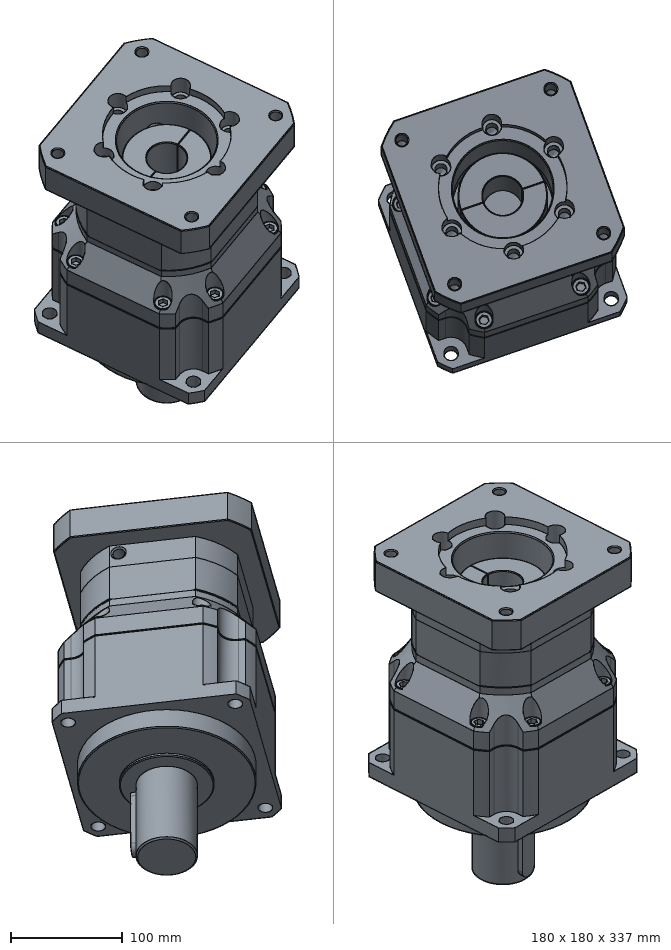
import cadquery as cq
import math

total_height = 337.0
shaft_length = 82.0
seal_height = 3.0
pilot_height = 20.0
base_thickness = 15.0
seal_bottom = shaft_length
pilot_bottom = seal_bottom + seal_height
base_bottom = pilot_bottom + pilot_height
base_top = base_bottom + base_thickness
seam_level = 189.3
shoulder_bottom = 209.5
shoulder_top = 236.5
stage_joint = 244.0
adapter_bottom = 281.0
plate_thickness = 32.0
plate_bottom = total_height - plate_thickness

square_half = 90.0
base_corner_radius = 120.0
body_corner_radius = 102.5
plate_corner_radius = 115.0
plate_edge_chamfer = 0.8
neck_half = 71.5
neck_corner_radius = 81.5
neck_turned_chamfer = 1.0
seam_width = 1.2
seam_depth = 0.3

shaft_radius = 27.5
shaft_chamfer = 1.5
seal_radius = 42.5
seal_chamfer = 1.0
pilot_radius = 80.0
pilot_chamfer = 1.0
key_width = 16.0
key_height = 10.0
key_length = 70.0
key_start = 6.0
key_top = 31.5

base_hole_offset = 76.0
base_hole_diameter = 13.0
scallop_radius = 15.0

screw_circle_radius = 92.0
screw_angle_from_axis = 30.0
screw_pocket_diameter = 16.5
screw_pocket_floor = 212.5
screw_head_diameter = 15.0
screw_head_height = 0.5
screw_head_chamfer = 0.4
screw_socket_flats = 8.0
screw_socket_depth = 5.0

hub_radius = 40.0
hub_top = plate_bottom
hub_chamfer = 0.8
hub_bore_radius = 18.0
hub_bore_chamfer = 0.8
hub_slit_width = 1.0
hub_bore_bottom = 255.0
cavity_radius = 45.0
cavity_chamfer = 1.0
cavity_floor = 265.0
clamp_screw_y = 31.0
clamp_screw_z = 296.0
clamp_screw_diameter = 8.0
clamp_screw_floor_x = -18.0
access_hole_diameter = 11.0
access_hole_chamfer = 1.5

recess_radius = 57.5
recess_depth = 8.0
bolt_circle_radius = 59.0
bolt_count = 6
bolt_start_angle = -10.0
bolt_head_diameter = 17.5
bolt_head_depth = 19.0
bolt_hole_diameter = 11.0
bolt_hole_depth = 14.0
motor_hole_circle_radius = 100.0
motor_hole_offset = motor_hole_circle_radius / math.sqrt(2)
motor_hole_diameter = 10.5
motor_hole_chamfer = 1.0
motor_hole_depth = 22.0
drill_tip_angle = 118.0


def turned_square_wire(half, corner_radius, level):
    """Square outline whose corners are arcs about the Z axis."""
    flat = math.sqrt(corner_radius**2 - half**2)
    diagonal = corner_radius / math.sqrt(2)
    return (
        cq.Workplane("XY")
        .workplane(offset=level)
        .moveTo(-flat, -half)
        .lineTo(flat, -half)
        .threePointArc((diagonal, -diagonal), (half, -flat))
        .lineTo(half, flat)
        .threePointArc((diagonal, diagonal), (flat, half))
        .lineTo(-flat, half)
        .threePointArc((-diagonal, diagonal), (-half, flat))
        .lineTo(-half, -flat)
        .threePointArc((-diagonal, -diagonal), (-flat, -half))
        .close()
    )


def turned_square(half, corner_radius, bottom, top):
    return turned_square_wire(half, corner_radius, bottom).extrude(top - bottom)


def disc(radius, bottom, top):
    return cq.Workplane("XY").workplane(offset=bottom).circle(radius).extrude(top - bottom)


def countersink(radius, chamfer, top):
    """Cutter for a 45 degree chamfer around the mouth of a round hole."""
    return (
        cq.Workplane("XZ")
        .polyline([(0, top), (radius + chamfer, top), (radius, top - chamfer), (0, top - chamfer)])
        .close()
        .revolve(360, (0, 0, 0), (0, 1, 0))
    )


def drilled_hole(diameter, top, depth):
    """Cutter for a blind hole with a conical drill tip below its depth."""
    radius = diameter / 2
    tip = radius / math.tan(math.radians(drill_tip_angle / 2))
    return (
        cq.Workplane("XZ")
        .polyline([(0, top), (radius, top), (radius, top - depth), (0, top - depth - tip)])
        .close()
        .revolve(360, (0, 0, 0), (0, 1, 0))
    )


def at_points(cutter, points):
    """Copies of a cutter on the Z axis, moved to each (x, y) point."""
    return [cutter.translate((x, y, 0)) for x, y in points]


def corner_points(offset):
    return [(sx * offset, sy * offset) for sx in (-1, 1) for sy in (-1, 1)]


def polar_points(radius, angles):
    return [
        (radius * math.cos(math.radians(a)), radius * math.sin(math.radians(a)))
        for a in angles
    ]


def shaft_key():
    """Round-ended key on the +Y side of the shaft."""
    return (
        cq.Workplane("XZ", origin=(0, key_top, key_start + key_length / 2))
        .slot2D(key_length, key_width, 90)
        .extrude(key_height)
    )


def output_end():
    shaft = disc(shaft_radius, 0, base_bottom).faces("<Z").chamfer(shaft_chamfer)
    seal = disc(seal_radius, seal_bottom, base_bottom).faces("<Z").chamfer(seal_chamfer)
    pilot = disc(pilot_radius, pilot_bottom, base_bottom).faces("<Z").chamfer(pilot_chamfer)
    return pilot.union(seal).union(shaft).union(shaft_key())


def scallop(sign_x, sign_y, growth=0.0):
    """Round-nosed corner cut, open outwards, above one base fixing hole."""
    nose_radius = scallop_radius + growth
    inner = base_hole_offset - nose_radius
    reach = square_half - inner
    middle = inner + reach / 2
    height = stage_joint - base_top
    nose_edge = (sign_x * inner, sign_y * inner, base_top + height / 2)
    block = (
        cq.Workplane("XY", origin=(sign_x * middle, sign_y * middle, base_top))
        .rect(reach, reach)
        .extrude(height)
    )
    return block.edges(cq.selectors.NearestToPointSelector(nose_edge)).fillet(nose_radius)


def shoulder():
    """Tapered transition from the body section to the neck section."""
    lower = turned_square_wire(square_half, body_corner_radius, shoulder_bottom)
    upper = turned_square_wire(neck_half, neck_corner_radius, shoulder_top)
    loft = cq.Solid.makeLoft([lower.val(), upper.val()], True)
    return cq.Workplane("XY").newObject([loft])


def seam_groove():
    """Shallow groove that follows the whole body outline, scallops included."""
    seam_top = seam_level + seam_width
    groove = turned_square(square_half, body_corner_radius, seam_level, seam_top)
    core = turned_square(
        square_half - seam_depth, body_corner_radius - seam_depth, seam_level, seam_top
    )
    for sign_x, sign_y in corner_points(1):
        core = core.cut(scallop(sign_x, sign_y, seam_depth))
    return groove.cut(core)


def recessed_screw_cut():
    """Pocket with a screw head standing on its floor and a hexagon socket."""
    head_top = screw_pocket_floor + screw_head_height
    pocket = disc(screw_pocket_diameter / 2, screw_pocket_floor, stage_joint)
    head = disc(screw_head_diameter / 2, screw_pocket_floor, head_top).faces(">Z").chamfer(screw_head_chamfer)
    socket = (
        cq.Workplane("XY")
        .workplane(offset=head_top)
        .polygon(6, screw_socket_flats / math.cos(math.pi / 6))
        .extrude(-screw_socket_depth)
    )
    return pocket.cut(head).union(socket)


def housing():
    base = turned_square(square_half, base_corner_radius, base_bottom, base_top)
    base_hole = disc(base_hole_diameter / 2, base_bottom, base_top)
    for hole in at_points(base_hole, corner_points(base_hole_offset)):
        base = base.cut(hole)
    upper = turned_square(square_half, body_corner_radius, base_top, shoulder_bottom)
    upper = upper.union(shoulder()).cut(seam_groove())
    for sign_x, sign_y in corner_points(1):
        upper = upper.cut(scallop(sign_x, sign_y))
    upper = upper.union(turned_square(neck_half, neck_corner_radius, shoulder_top, stage_joint))
    screw_angles = [
        quarter + side * screw_angle_from_axis for quarter in (0, 90, 180, 270) for side in (-1, 1)
    ]
    for cut in at_points(recessed_screw_cut(), polar_points(screw_circle_radius, screw_angles)):
        upper = upper.cut(cut)
    return base.union(upper)


def input_housing():
    """Neck section with its lower corners chamfered on the lathe."""
    neck = turned_square(neck_half, neck_corner_radius, stage_joint, adapter_bottom)
    envelope = disc(neck_corner_radius, stage_joint, adapter_bottom).faces("<Z").chamfer(neck_turned_chamfer)
    return neck.intersect(envelope).cut(disc(cavity_radius, cavity_floor, adapter_bottom))


def clamp_hub():
    """Split hub that grips the motor shaft, standing on the cavity floor."""
    hub = disc(hub_radius, cavity_floor, hub_top).faces(">Z").chamfer(hub_chamfer)
    bore = disc(hub_bore_radius, hub_bore_bottom, hub_top)
    hub = hub.cut(bore).cut(countersink(hub_bore_radius, hub_bore_chamfer, hub_top))
    slit = (
        cq.Workplane("XY")
        .workplane(offset=cavity_floor)
        .rect(hub_slit_width, 2 * hub_radius)
        .extrude(hub_top - cavity_floor)
    )
    screw_hole = (
        cq.Workplane("YZ", origin=(clamp_screw_floor_x, clamp_screw_y, clamp_screw_z))
        .circle(clamp_screw_diameter / 2)
        .extrude(-hub_radius)
    )
    return hub.cut(slit).cut(screw_hole)


def input_stage_body():
    bore = disc(hub_bore_radius, hub_bore_bottom, cavity_floor)
    return input_housing().cut(bore).union(clamp_hub())


def access_hole():
    """Radial hole on the -X side leading to the clamp screw."""
    hole = (
        cq.Workplane("YZ", origin=(-neck_half, clamp_screw_y, clamp_screw_z))
        .circle(access_hole_diameter / 2)
        .extrude(neck_half + clamp_screw_floor_x)
    )
    mouth = (
        cq.Workplane("YZ", origin=(-neck_half, clamp_screw_y, clamp_screw_z))
        .circle(access_hole_diameter / 2 + access_hole_chamfer)
        .workplane(offset=access_hole_chamfer)
        .circle(access_hole_diameter / 2)
        .loft()
    )
    return hole.union(mouth)


def motor_hole():
    mouth = countersink(motor_hole_diameter / 2, motor_hole_chamfer, total_height)
    return drilled_hole(motor_hole_diameter, total_height, motor_hole_depth).union(mouth)


def bolt_hole():
    head_seat = total_height - bolt_head_depth
    head = disc(bolt_head_diameter / 2, head_seat, total_height)
    return head.union(drilled_hole(bolt_hole_diameter, head_seat, bolt_hole_depth))


def adapter_body():
    plate = turned_square(square_half, plate_corner_radius, plate_bottom, total_height)
    plate = plate.faces("<Z or >Z").chamfer(plate_edge_chamfer)
    body = plate.union(turned_square(neck_half, neck_corner_radius, adapter_bottom, plate_bottom))
    recess_floor = total_height - recess_depth
    cavity = disc(cavity_radius, adapter_bottom, recess_floor)
    body = body.cut(disc(recess_radius, recess_floor, total_height)).cut(cavity)
    body = body.cut(countersink(cavity_radius, cavity_chamfer, recess_floor))
    bolt_angles = [bolt_start_angle + i * 360 / bolt_count for i in range(bolt_count)]
    for hole in at_points(bolt_hole(), polar_points(bolt_circle_radius, bolt_angles)):
        body = body.cut(hole)
    for hole in at_points(motor_hole(), corner_points(motor_hole_offset)):
        body = body.cut(hole)
    return body.cut(access_hole())


gearbox = housing().union(output_end())
input_stage = input_stage_body()
adapter = adapter_body()

result = cq.Compound.makeCompound([gearbox.val(), input_stage.val(), adapter.val()])